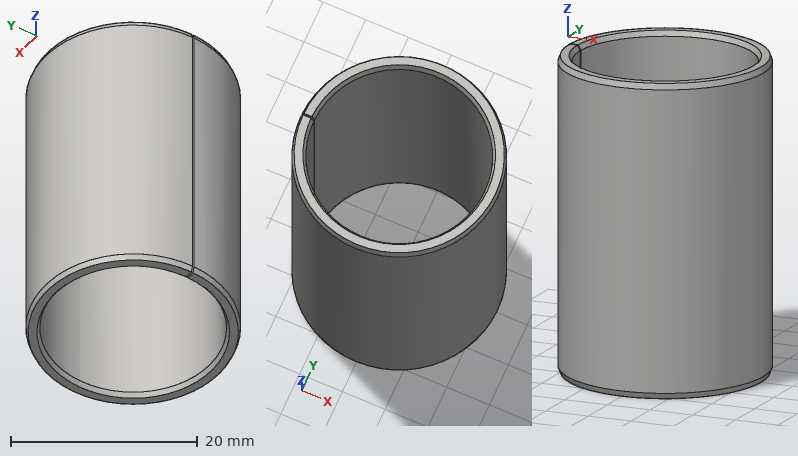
import cadquery as cq

length = 35.0
outer_diameter = 23.0
inner_diameter = 20.0
slit_width = 0.2

outer_chamfer_height = 0.65
outer_chamfer_depth = 0.25
inner_chamfer_height = 0.6
inner_chamfer_depth = 0.3

outer_radius = outer_diameter / 2
inner_radius = inner_diameter / 2


def chamfered_tube():
    """Revolve the wall section, drawn as radius against height, about Z."""
    wall_section = [
        (inner_radius + inner_chamfer_depth, 0),
        (outer_radius - outer_chamfer_depth, 0),
        (outer_radius, outer_chamfer_height),
        (outer_radius, length - outer_chamfer_height),
        (outer_radius - outer_chamfer_depth, length),
        (inner_radius + inner_chamfer_depth, length),
        (inner_radius, length - inner_chamfer_height),
        (inner_radius, inner_chamfer_height),
    ]
    return cq.Workplane("XZ").polyline(wall_section).close().revolve(360, (0, 0), (0, 1))


def slit_cutter():
    """Thin block from the axis outward through the -X wall, on the +Y side of the XZ plane."""
    return cq.Workplane("XY").box(
        outer_diameter, slit_width, length, centered=(True, False, False)
    ).translate((-outer_radius, 0, 0))


result = chamfered_tube().cut(slit_cutter())